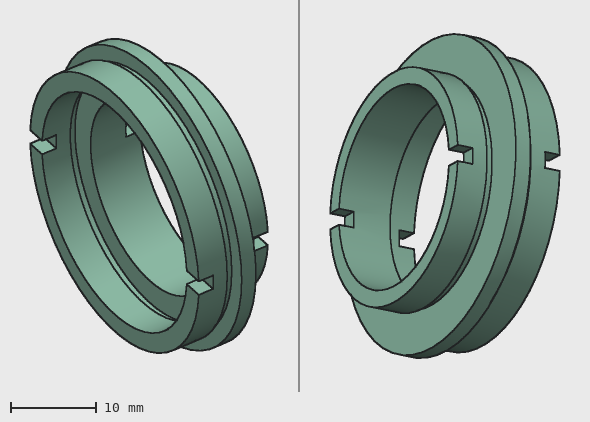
import cadquery as cq

rim_length = 4.0
groove_width = 1.0
flange_thickness = 2.02
total_length = 2 * (rim_length + groove_width) + flange_thickness

flange_diameter = 38.1
front_rim_diameter = 35.0
front_groove_diameter = 34.0
rear_rim_diameter = 28.5
rear_groove_diameter = 27.5
counterbore_diameter = 30.02
undercut_diameter = 31.0
bore_diameter = 24.5

counterbore_depth = rim_length + groove_width
slot_width = 2.0
slot_depth = 2.02


def cylinder(diameter, start, length):
    """Solid cylinder about the Y axis, extending toward +Y from start."""
    plane = cq.Plane(origin=(0, start, 0), xDir=(1, 0, 0), normal=(0, 1, 0))
    return cq.Workplane(plane).circle(diameter / 2).extrude(length)


def wrench_slot(center_y):
    """Bar along X that notches both sides of a rim; half of it overhangs the end face."""
    return cq.Workplane("XY").box(flange_diameter, 2 * slot_depth, slot_width).translate((0, center_y, 0))


sections = [
    (front_rim_diameter, rim_length),
    (front_groove_diameter, groove_width),
    (flange_diameter, flange_thickness),
    (rear_groove_diameter, groove_width),
    (rear_rim_diameter, rim_length),
]
position = 0
result = cq.Workplane("XY")
for diameter, length in sections:
    result = result.add(cylinder(diameter, position, length))
    position += length
result = result.combine()

result = result.cut(cylinder(bore_diameter, 0, total_length))
result = result.cut(cylinder(counterbore_diameter, 0, counterbore_depth))
result = result.cut(cylinder(undercut_diameter, rim_length, groove_width))

for end_face in (0, total_length):
    result = result.cut(wrench_slot(end_face))

result = result.translate((0, -total_length / 2, 0))